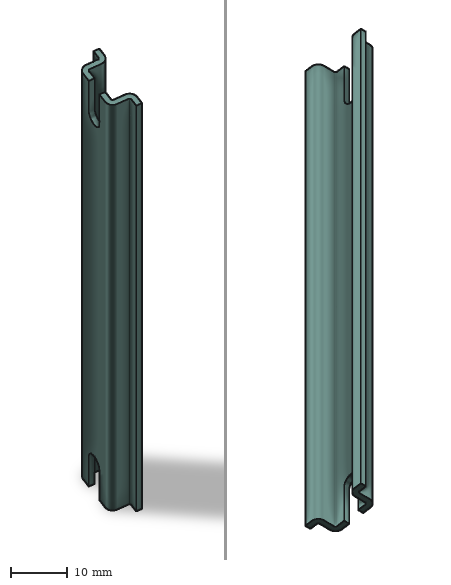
import cadquery as cq

length = 110.0
width = 15.0
height = 5.5
thickness = 1.2

channel_width = 10.8
inner_bend_radius = 0.3
outer_bend_radius = inner_bend_radius + thickness

slot_width = 3.7
slot_depth = 10.0


def rail_profile():
    """Hat section whose web lies on the -Y side and whose lips lie on the +Y side."""
    lip = width / 2
    outside = channel_width / 2
    inside = outside - thickness
    front = -height / 2
    back = height / 2
    right_half = [
        (outside, front),
        (outside, back - thickness),
        (lip, back - thickness),
        (lip, back),
        (inside, back),
        (inside, front + thickness),
    ]
    left_half = [(-x, y) for x, y in reversed(right_half)]
    return cq.Workplane("XY").polyline(right_half + left_half).close()


def round_bends(rail):
    """Round both faces of the four bends, keeping the wall thickness through each bend."""
    outside = channel_width / 2
    inside = outside - thickness
    front = -height / 2
    back = height / 2
    bends = [
        (outside, front, outer_bend_radius),
        (inside, front + thickness, inner_bend_radius),
        (outside, back - thickness, inner_bend_radius),
        (inside, back, outer_bend_radius),
    ]
    for side in (-1, 1):
        for x, y, radius in bends:
            corner = cq.selectors.NearestToPointSelector((side * x, y, 0))
            rail = rail.edges("|Z").edges(corner).fillet(radius)
    return rail


def end_slot(end):
    """Slot cutter open at the top (end = 1) or bottom (end = -1) of the rail."""
    radius = slot_width / 2
    open_z = end * length / 2
    arc_start_z = open_z - end * (slot_depth - radius)
    tip_z = open_z - end * slot_depth
    return (
        cq.Workplane("XZ")
        .moveTo(-radius, open_z)
        .lineTo(-radius, arc_start_z)
        .threePointArc((0, tip_z), (radius, arc_start_z))
        .lineTo(radius, open_z)
        .close()
        .extrude(height / 2)
    )


rail = rail_profile().extrude(length / 2, both=True)
result = round_bends(rail)
for end in (-1, 1):
    result = result.cut(end_slot(end))